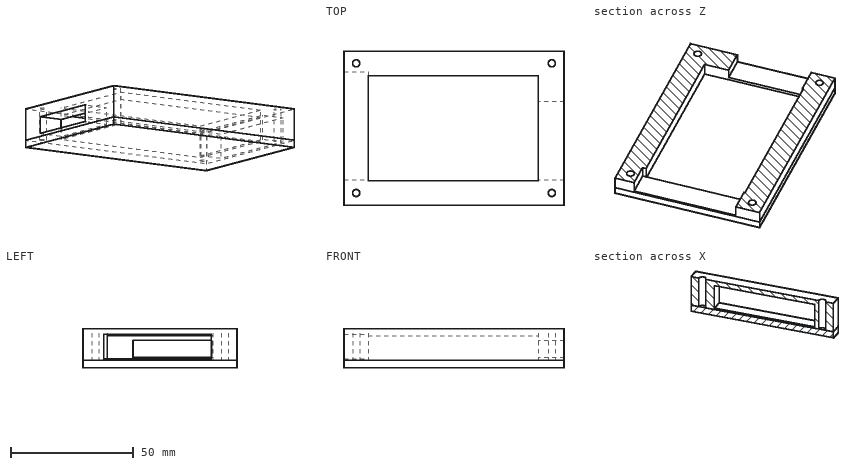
import cadquery as cq

length = 89.78
width = 62.88
total_height = 16.0
base_thickness = 3.0

wall = 10.0
far_wall = 10.5

panel_thickness = 3.0

screw_diameter = 2.9
screw_inset = 5.0

slot_width = 44.0
slot_height = 10.0
slot_bottom = 3.65
slot_offset = 1.0

port_width = 32.0
port_height = 6.9
port_bottom = 4.25

housing_height = total_height - base_thickness
cavity_length = length - wall - far_wall
cavity_width = width - 2 * wall
slot_start = (width - slot_width) / 2 + slot_offset


def block(corner, size):
    """Box placed by its lowest corner."""
    return cq.Workplane("XY").box(*size, centered=False).translate(corner)


def make_base():
    """Flat floor plate under the housing."""
    return block((0, 0, 0), (length, width, base_thickness))


def make_screw_cutters():
    """Cylinders at the four corners, as deep as the housing."""
    corners = [
        (x, y)
        for x in (screw_inset, length - screw_inset)
        for y in (screw_inset, width - screw_inset)
    ]
    cutters = cq.Workplane("XY").workplane(offset=base_thickness).pushPoints(corners)
    return cutters.circle(screw_diameter / 2).extrude(housing_height)


def make_housing():
    """Rectangular frame with an opening through each end wall."""
    frame = block((0, 0, base_thickness), (length, width, housing_height))
    cavity = block((wall, wall, base_thickness), (cavity_length, cavity_width, housing_height))
    slot = block((0, slot_start, slot_bottom), (wall, slot_width, slot_height))
    port = block((length - far_wall, slot_start, port_bottom), (far_wall, port_width, port_height))
    return frame.cut(cavity).cut(slot).cut(port).cut(make_screw_cutters())


def make_panel():
    """Cover panel filling the top of the cavity, flush with the housing."""
    panel_bottom = total_height - panel_thickness
    return block((wall, wall, panel_bottom), (cavity_length, cavity_width, panel_thickness))


base = make_base()
housing = make_housing()
panel = make_panel()

result = cq.Compound.makeCompound([base.val(), housing.val(), panel.val()])